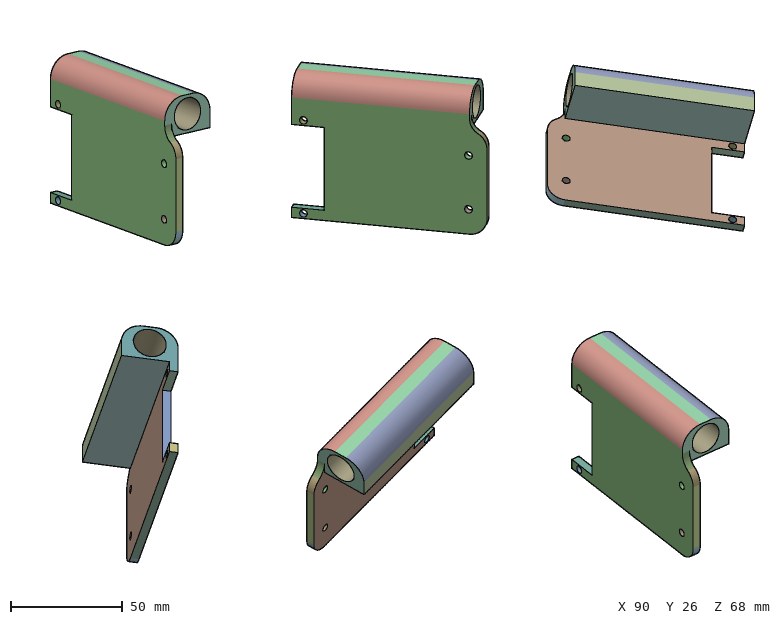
import cadquery as cq
import math

plate_length = 90.0
plate_height = 50.0
plate_thickness = 4.0
corner_radius = 8.0

housing_length = 82.0
housing_depth = 26.0
housing_height = 18.0
housing_round = 10.0
bore_diameter = 15.0
bore_height = plate_height + housing_height / 2

notch_depth = 15.0
arm_height = 5.0
notch_height = plate_height - 2 * arm_height

hole_diameter = 3.5
arm_hole_x = 5.5
edge_hole_x = 81.5
edge_hole_inset = 12.0


def arc_point(center, radius, angle_degrees):
    """Point on a circle at an angle measured from +X."""
    angle = math.radians(angle_degrees)
    return (center[0] + radius * math.cos(angle), center[1] + radius * math.sin(angle))


def make_plate():
    """Plate whose upper right shoulder flows into the housing end by two tangent arcs."""
    lower_corner = (plate_length - corner_radius, corner_radius)
    shoulder = (plate_length - corner_radius, plate_height - corner_radius)

    blend_x = housing_length + corner_radius
    blend_offset = blend_x - shoulder[0]
    blend_rise = math.sqrt((2 * corner_radius) ** 2 - blend_offset**2)
    blend = (blend_x, shoulder[1] + blend_rise)
    join_angle = math.degrees(math.atan2(blend_rise, blend_offset))
    blend_mid_angle = 180 + join_angle / 2

    profile = (
        cq.Workplane("XZ")
        .moveTo(0, 0)
        .lineTo(lower_corner[0], 0)
        .threePointArc(arc_point(lower_corner, corner_radius, -45), (plate_length, lower_corner[1]))
        .lineTo(plate_length, shoulder[1])
        .threePointArc(
            arc_point(shoulder, corner_radius, join_angle / 2),
            arc_point(shoulder, corner_radius, join_angle),
        )
        .threePointArc(arc_point(blend, corner_radius, blend_mid_angle), (housing_length, blend[1]))
        .lineTo(0, blend[1])
        .close()
    )
    return profile.extrude(-plate_thickness)


def make_housing():
    """Block with both long upper edges rounded."""
    return (
        cq.Workplane("XY")
        .box(housing_length, housing_depth, housing_height, centered=False)
        .edges("|X and >Z")
        .fillet(housing_round)
        .translate((0, 0, plate_height))
    )


def make_bore():
    """Cylinder running the full length of the housing."""
    return (
        cq.Workplane("YZ")
        .center(housing_depth / 2, bore_height)
        .circle(bore_diameter / 2)
        .extrude(housing_length)
    )


def make_notch():
    """Rectangular notch open to the left edge of the plate."""
    return (
        cq.Workplane("XY")
        .box(notch_depth, plate_thickness, notch_height, centered=False)
        .translate((0, 0, arm_height))
    )


def make_mounting_holes():
    """One hole in each arm and two near the right edge."""
    arm_hole_inset = arm_height / 2
    centers = []
    for x, inset in ((arm_hole_x, arm_hole_inset), (edge_hole_x, edge_hole_inset)):
        centers.append((x, inset))
        centers.append((x, plate_height - inset))
    return (
        cq.Workplane("XZ")
        .pushPoints(centers)
        .circle(hole_diameter / 2)
        .extrude(-plate_thickness)
    )


body = make_plate().union(make_housing()).clean()
result = body.cut(make_bore()).cut(make_notch()).cut(make_mounting_holes())